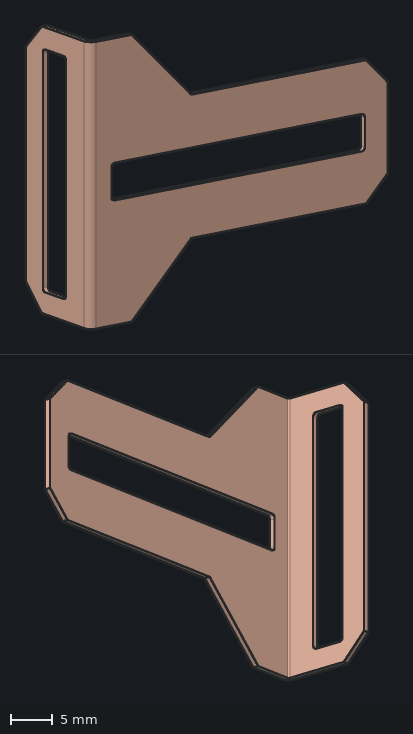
import cadquery as cq

width = 12.7
length = 44.45
height = 35.55
thickness = 0.8
bend_outer_radius = 1.02
bend_inner_radius = bend_outer_radius - thickness

corner_chamfer = 3.2
arm_height = height / 2
shoulder_start = 6.35
shoulder_run = (height - arm_height) / 2

slot_width = 4.62
slot_corner_radius = 0.5
flange_slot_length = 30.05
flange_slot_offset = 3.42
arm_slot_start = 3.35
arm_slot_end = 41.03


def folded_sheet():
    """L-shaped sheet, flange along X and arm along Y, with a rounded bend."""
    return (
        cq.Workplane("XY")
        .polyline([
            (0, 0),
            (width, 0),
            (width, length),
            (width - thickness, length),
            (width - thickness, thickness),
            (0, thickness),
        ])
        .close()
        .extrude(height / 2, both=True)
        .edges(cq.selectors.NearestToPointSelector((width, 0, 0)))
        .fillet(bend_outer_radius)
        .edges(cq.selectors.NearestToPointSelector((width - thickness, thickness, 0)))
        .fillet(bend_inner_radius)
    )


def flange_outline():
    """Chamfered flange profile, extended through the full bracket length."""
    return (
        cq.Workplane("XY")
        .box(width, length, height, centered=(False, False, True))
        .edges("|Y and <X")
        .chamfer(corner_chamfer)
    )


def arm_outline():
    """Arm profile with 45 degree shoulders, extended through the full width."""
    shoulder_end = shoulder_start + shoulder_run
    upper_half = [
        (0, height / 2),
        (shoulder_start, height / 2),
        (shoulder_end, arm_height / 2),
        (length - corner_chamfer, arm_height / 2),
        (length, arm_height / 2 - corner_chamfer),
    ]
    lower_half = [(y, -z) for y, z in reversed(upper_half)]
    return cq.Workplane("YZ").polyline(upper_half + lower_half).close().extrude(width)


def flange_slot():
    return (
        cq.Workplane("XY")
        .box(slot_width, thickness, flange_slot_length, centered=(False, False, True))
        .edges("|Y")
        .fillet(slot_corner_radius)
        .translate((flange_slot_offset, 0, 0))
    )


def arm_slot():
    return (
        cq.Workplane("XY")
        .box(thickness, arm_slot_end - arm_slot_start, slot_width, centered=(False, False, True))
        .edges("|X")
        .fillet(slot_corner_radius)
        .translate((width - thickness, arm_slot_start, 0))
    )


result = (
    folded_sheet()
    .intersect(flange_outline())
    .intersect(arm_outline())
    .cut(flange_slot())
    .cut(arm_slot())
)